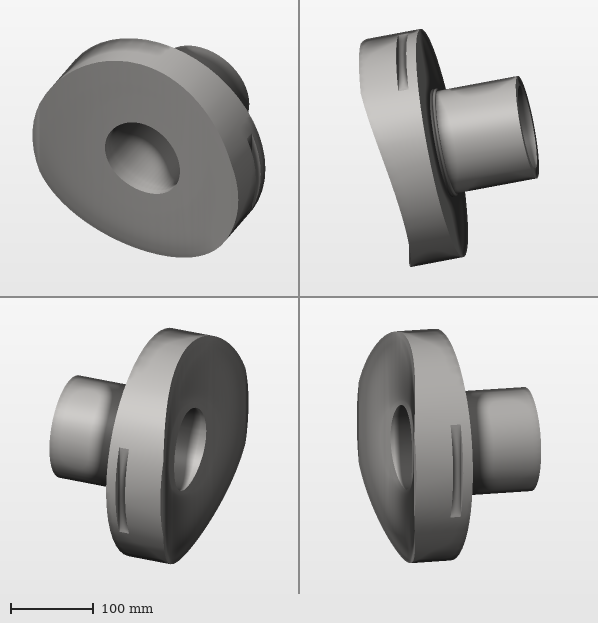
import cadquery as cq
import math

flange_diameter = 280.0
flange_radius = flange_diameter / 2
flange_thickness = 70.5
saddle_radius = 400.0
saddle_half_width = 130.2

tube_diameter = 125.7
tube_length = 105.5
bore_diameter = 102.0

bead_count = 2
bead_radius = 2.0
bead_pitch = 3.5
first_bead_offset = 1.5
beads_outer_diameter = 132.2

slot_width = 12.5
slot_depth = 12.3
slot_offset = 12.0


def cylinder(diameter, start, length):
    """Solid cylinder on the Y axis, from Y = start towards +Y."""
    plane = cq.Plane(origin=(0, start, 0), xDir=(1, 0, 0), normal=(0, 1, 0))
    return cq.Workplane(plane).circle(diameter / 2).extrude(length)


def saddle_cutter():
    """Cylinder along Z that hollows the front face and leaves a flat strip at each side."""
    axis_drop = math.sqrt(saddle_radius**2 - saddle_half_width**2)
    return (
        cq.Workplane("XY")
        .center(0, -flange_thickness - axis_drop)
        .circle(saddle_radius)
        .extrude(flange_radius, both=True)
    )


def side_slot(side):
    """Slot along Z, cut into the +X side (side = 1) or the -X side (side = -1)."""
    return cq.Workplane("XY").box(2 * slot_depth, slot_width, flange_diameter).translate(
        (side * flange_radius, -slot_offset - slot_width / 2, 0)
    )


def bead(offset):
    """Ring of round section about the Y axis, centred at Y = offset."""
    ring_radius = beads_outer_diameter / 2 - bead_radius
    return (
        cq.Workplane("XY")
        .center(ring_radius, offset)
        .circle(bead_radius)
        .revolve(360, (-ring_radius, 0), (-ring_radius, 1))
    )


flange = cylinder(flange_diameter, -flange_thickness, flange_thickness).cut(saddle_cutter())
for side in (-1, 1):
    flange = flange.cut(side_slot(side))

body = flange.union(cylinder(tube_diameter, 0, tube_length))
for index in range(bead_count):
    body = body.union(bead(first_bead_offset + index * bead_pitch))

result = body.cut(cylinder(bore_diameter, -flange_thickness, flange_thickness + tube_length))